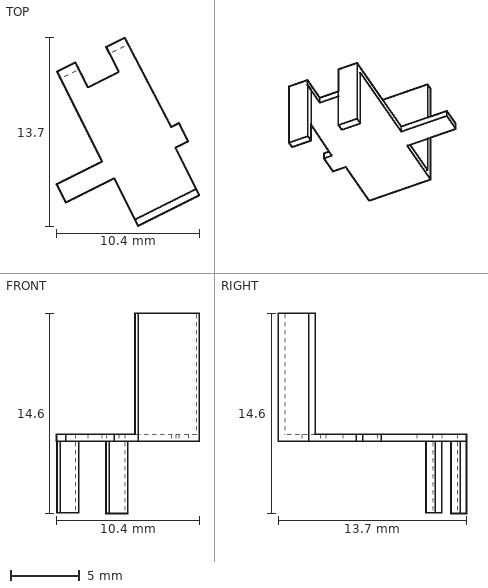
import cadquery as cq
import math

turn_angle = math.degrees(math.atan(1 / 2))

sheet_thickness = 0.52
wall_height = 9.3
wall_width = 4.97

tab_start = 3.86
tab_end = 5.36
notch_floor = 10.62
plate_length = 12.65

arm_tip = -3.93
rear_left = -0.25
rear_right = 5.25
shoulder_right = 5.37
tab_tip = 6.0
notch_left = 1.25
notch_right = 3.75

left_leg_drop = 5.2
left_leg_thickness = 0.55
right_leg_drop = 5.25
right_leg_overhang = 0.03


def block(left, right, front, rear, bottom, top):
    """Box spanning the given limits in X, Y and Z."""
    size = (right - left, rear - front, top - bottom)
    return cq.Workplane("XY").box(*size, centered=False).translate((left, front, bottom))


def make_plate():
    """Flat plate with a long left arm, a short right tab and a rear notch."""
    outline = [
        (0, 0),
        (wall_width, 0),
        (wall_width, tab_start),
        (tab_tip, tab_start),
        (tab_tip, tab_end),
        (shoulder_right, tab_end),
        (rear_right, plate_length),
        (notch_right, plate_length),
        (notch_right, notch_floor),
        (notch_left, notch_floor),
        (notch_left, plate_length),
        (rear_left, plate_length),
        (rear_left, tab_end),
        (arm_tip, tab_end),
        (arm_tip, tab_start),
        (0, tab_start),
    ]
    return cq.Workplane("XY").polyline(outline).close().extrude(sheet_thickness)


def make_leg(left, right, thickness, drop):
    """Leg hanging from the underside of a plate finger, flush with its rear end."""
    return block(left, right, plate_length - thickness, plate_length, -drop, 0)


wall = block(0, wall_width, 0, sheet_thickness, 0, wall_height)
left_leg = make_leg(rear_left, notch_left, left_leg_thickness, left_leg_drop)
right_leg = make_leg(notch_right - right_leg_overhang, rear_right, sheet_thickness, right_leg_drop)

bracket = make_plate().union(wall).union(left_leg).union(right_leg)
result = bracket.rotate((0, 0, 0), (0, 0, 1), turn_angle)